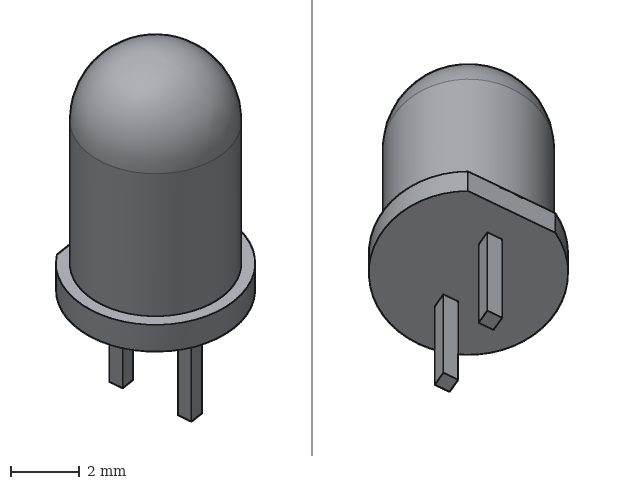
import cadquery as cq

lens_radius = 2.5
lens_straight_height = 5.3

flange_radius = 2.9
flange_height = 1.0
flat_distance = lens_radius

lead_width = 0.5
lead_length = 4.0
lead_pitch = 2.54


def make_lens():
    """Half profile of the lens, from the flange top up, revolved about Z."""
    dome_base = flange_height + lens_straight_height
    dome_top = dome_base + lens_radius
    return (
        cq.Workplane("XZ")
        .moveTo(0, flange_height)
        .lineTo(lens_radius, flange_height)
        .lineTo(lens_radius, dome_base)
        .radiusArc((0, dome_top), -lens_radius)
        .close()
        .revolve(360, (0, 0, 0), (0, 1, 0))
    )


def make_flange():
    """Disc with everything beyond the flat cut away."""
    disc = cq.Workplane("XY").circle(flange_radius).extrude(flange_height)
    keep_length = flat_distance + flange_radius
    keep = cq.Workplane("XY").box(
        keep_length, 2 * flange_radius, flange_height, centered=(False, True, False)
    )
    return disc.intersect(keep.translate((-flat_distance, 0, 0)))


def make_lead(x):
    """Square lead centred at x, running down from the flange underside."""
    return cq.Workplane("XY").center(x, 0).rect(lead_width, lead_width).extrude(-lead_length)


def make_led():
    led = make_flange().union(make_lens())
    for side in (-1, 1):
        led = led.union(make_lead(side * lead_pitch / 2))
    return led


result = make_led()